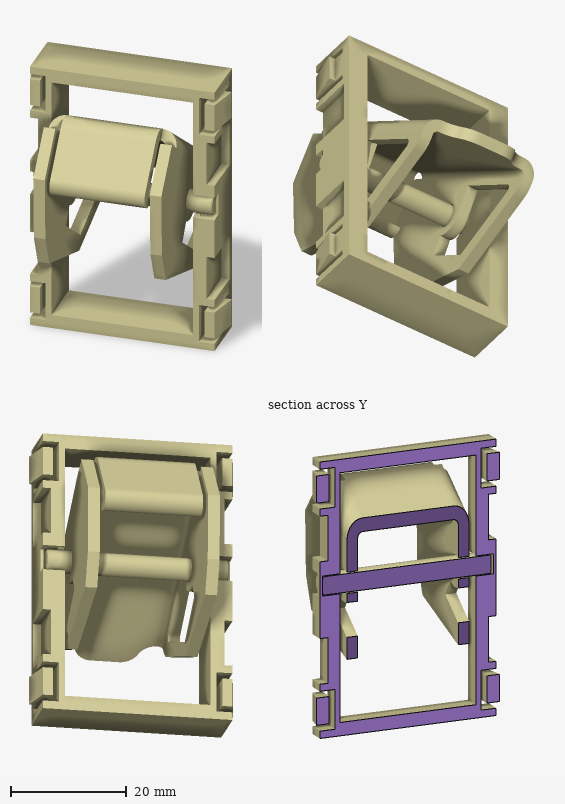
import cadquery as cq
import math


FRAME_WIDTH = 33.5
FRAME_DEPTH = 10.0
FRAME_HEIGHT = 50.0
END_WALL = 2.5
SIDE_WALL = 3.9
HALF_WIDTH = FRAME_WIDTH / 2

CLIP_CENTER_Z = 20.05
CLIP_HEIGHT = 5.0
CLIP_THICKNESS = 1.8
CLIP_GAP = 1.05
CLIP_SLOT_DEPTH = 8.0
HOOK_LENGTH = 5.85
HOOK_REACH = 1.25

POCKET_CENTER_Z = 11.05
POCKET_HEIGHT = 8.15
POCKET_LENGTH = 8.55
POCKET_DEPTH = 1.45

PIN_DIAMETER = 4.0
PIN_RADIUS = PIN_DIAMETER / 2
PIN_Y = PIN_RADIUS
PIN_Z = 2.5
PIN_CHAMFER = 0.25
PIN_END_PLAY = 0.35

SEAT_DIAMETER = 4.1
SEAT_MOUTH = 4.4
SEAT_END_WALL = 0.55
END_NOTCH_DEPTH = 2.15
LIP_LENGTH = 1.05
LIP_HALF_GAP = 1.85
LIP_Y = 0.95
LIP_THICKNESS = 1.0

LEVER_TILT = 34.4
LEVER_WIDTH = 23.25
SHEET = 2.1
BEND_RADIUS = 3.0
LEVER_TOP = 10.0
PIN_HOLE_DIAMETER = 4.3
INNER_BEND_RADIUS = BEND_RADIUS - SHEET
FLAT_HALF_WIDTH = LEVER_WIDTH / 2 - BEND_RADIUS
FOLD_Z = LEVER_TOP - BEND_RADIUS
SHEET_UNDERSIDE = LEVER_TOP - SHEET

TOP_FRONT = -14.15
TOP_BACK = 23.0
TONGUE_LENGTH = 3.95
TONGUE_HALF_WIDTH = 2.5

PLATE_TOP_FRONT = (-17.2, FOLD_Z)
PLATE_NOSE = (-18.2, -2.25)
PLATE_LOWER_NOSE = (-11.4, -11.6)
PLATE_TOE = (-6.3, -15.1)
PLATE_HEEL = (11.1, -10.15)
PLATE_BACK = (TOP_BACK, 5.0)
PLATE_BACK_RADIUS = 5.0

WINDOW_TOP_MARGIN = 1.5
WINDOW_LOWER_MARGIN = 2.5
WINDOW_FLOOR = -7.5
WINDOW_CORNER_RADIUS = 0.9
BOSS_RADIUS = 3.75

FLAP_LEAN = 5.6
FLAP_LENGTH = 9.35


def block(x0, x1, y0, y1, z0, z1):
    """Box between two opposite corners."""
    return cq.Workplane("XY").box(x1 - x0, y1 - y0, z1 - z0, centered=False).translate((x0, y0, z0))


def both_sides(right_half):
    """A +X feature together with its mirror image on -X."""
    return right_half.union(right_half.mirror("YZ"))


def clip_slot(z):
    half = CLIP_HEIGHT / 2 + CLIP_GAP
    inner_x = HALF_WIDTH - CLIP_THICKNESS - CLIP_GAP
    return block(inner_x, HALF_WIDTH, 0, CLIP_SLOT_DEPTH, z - half, z + half)


def clip(z):
    inner_x = HALF_WIDTH - CLIP_THICKNESS
    outline = [
        (inner_x, 0),
        (HALF_WIDTH, 0),
        (HALF_WIDTH + HOOK_REACH, HOOK_LENGTH),
        (HALF_WIDTH, HOOK_LENGTH),
        (HALF_WIDTH, CLIP_SLOT_DEPTH),
        (inner_x, CLIP_SLOT_DEPTH),
    ]
    tongue = cq.Workplane("XY").polyline(outline).close().extrude(CLIP_HEIGHT)
    return tongue.translate((0, 0, z - CLIP_HEIGHT / 2))


def side_pocket(z):
    half = POCKET_HEIGHT / 2
    return block(HALF_WIDTH - POCKET_DEPTH, HALF_WIDTH, 0, POCKET_LENGTH, z - half, z + half)


def pin_seat():
    """U-shaped seat with a flared mouth, closed by an end wall that is notched to half depth."""
    inner_x = HALF_WIDTH - SIDE_WALL
    radius = SEAT_DIAMETER / 2
    mouth = SEAT_MOUTH / 2
    seat = (
        cq.Workplane("YZ", origin=(inner_x, 0, PIN_Z))
        .moveTo(0, -mouth)
        .lineTo(PIN_Y, -radius)
        .threePointArc((PIN_Y + radius, 0), (PIN_Y, radius))
        .lineTo(0, mouth)
        .close()
        .extrude(SIDE_WALL - SEAT_END_WALL)
    )
    notch = (
        cq.Workplane("YZ", origin=(HALF_WIDTH - SEAT_END_WALL, 0, PIN_Z))
        .polyline([
            (0, -mouth), (PIN_Y, -radius), (END_NOTCH_DEPTH, -radius),
            (END_NOTCH_DEPTH, radius), (PIN_Y, radius), (0, mouth),
        ])
        .close()
        .extrude(SEAT_END_WALL)
    )
    return seat.union(notch)


def snap_lips():
    """Two small ridges in the seat mouth that hold the pin in."""
    lips = cq.Workplane("YZ", origin=(HALF_WIDTH - SIDE_WALL, 0, PIN_Z))
    front = LIP_Y - LIP_THICKNESS / 2
    back = LIP_Y + LIP_THICKNESS / 2
    for side in (-1, 1):
        root = side * SEAT_MOUTH / 2
        tip = side * LIP_HALF_GAP
        lips = lips.moveTo(front, root).lineTo(LIP_Y, tip).lineTo(back, root).close()
    return lips.extrude(LIP_LENGTH)


def make_frame():
    frame = block(-HALF_WIDTH, HALF_WIDTH, 0, FRAME_DEPTH, -FRAME_HEIGHT / 2, FRAME_HEIGHT / 2)
    opening_half_width = HALF_WIDTH - SIDE_WALL
    opening_half_height = FRAME_HEIGHT / 2 - END_WALL
    frame = frame.cut(
        block(
            -opening_half_width, opening_half_width,
            0, FRAME_DEPTH,
            -opening_half_height, opening_half_height,
        )
    )
    for end in (-1, 1):
        frame = frame.cut(both_sides(clip_slot(end * CLIP_CENTER_Z)))
        frame = frame.union(both_sides(clip(end * CLIP_CENTER_Z)))
        frame = frame.cut(both_sides(side_pocket(end * POCKET_CENTER_Z)))
    return frame.cut(both_sides(pin_seat())).union(both_sides(snap_lips()))


def make_pin():
    """Pin resting against the +X end wall, with a little play at the -X end."""
    right_end = HALF_WIDTH - SEAT_END_WALL
    length = 2 * right_end - PIN_END_PLAY
    pin = cq.Workplane("YZ", origin=(right_end - length, PIN_Y, PIN_Z)).circle(PIN_RADIUS).extrude(length)
    return pin.faces("<X or >X").chamfer(PIN_CHAMFER)


def lever_top():
    """Flat top with a quarter bend along each side."""
    outer = LEVER_WIDTH / 2
    inner = outer - SHEET
    flat = FLAT_HALF_WIDTH
    diagonal = math.sqrt(0.5)

    def bend_middle(side, radius):
        return (side * (flat + radius * diagonal), FOLD_Z + radius * diagonal)

    return (
        cq.Workplane("XZ", origin=(0, TOP_BACK, 0))
        .moveTo(-outer, FOLD_Z)
        .threePointArc(bend_middle(-1, BEND_RADIUS), (-flat, LEVER_TOP))
        .lineTo(flat, LEVER_TOP)
        .threePointArc(bend_middle(1, BEND_RADIUS), (outer, FOLD_Z))
        .lineTo(inner, FOLD_Z)
        .threePointArc(bend_middle(1, INNER_BEND_RADIUS), (flat, SHEET_UNDERSIDE))
        .lineTo(-flat, SHEET_UNDERSIDE)
        .threePointArc(bend_middle(-1, INNER_BEND_RADIUS), (-inner, FOLD_Z))
        .close()
        .extrude(TOP_BACK - TOP_FRONT)
    )


def thumb_tongue():
    """Tongue at the back of the top, blended into it by an S-curve on each side."""
    tip_y = TOP_BACK + TONGUE_LENGTH
    run = FLAT_HALF_WIDTH - TONGUE_HALF_WIDTH
    middle = (TONGUE_HALF_WIDTH + run / 2, TOP_BACK + TONGUE_LENGTH / 2)
    right_half = (
        cq.Workplane("XY", origin=(0, 0, SHEET_UNDERSIDE))
        .moveTo(0, tip_y)
        .lineTo(TONGUE_HALF_WIDTH, tip_y)
        .tangentArcPoint(middle, relative=False)
        .tangentArcPoint((FLAT_HALF_WIDTH, TOP_BACK), relative=False)
        .lineTo(0, TOP_BACK)
        .close()
        .extrude(SHEET)
    )
    return both_sides(right_half)


def side_plate():
    """Plate on the +X side with its triangular window."""
    plate = (
        cq.Workplane("YZ", origin=(LEVER_WIDTH / 2 - SHEET, 0, 0))
        .polyline([
            PLATE_TOP_FRONT, PLATE_NOSE, PLATE_LOWER_NOSE, PLATE_TOE, PLATE_HEEL, PLATE_BACK,
            (TOP_BACK, FOLD_Z),
        ])
        .close()
        .extrude(SHEET)
    )
    back_corner = cq.selectors.NearestToPointSelector((LEVER_WIDTH / 2 - SHEET / 2, *PLATE_BACK))
    return plate.edges(back_corner).fillet(PLATE_BACK_RADIUS).cut(plate_window())


def plate_window():
    """Window under the top, running beside the pin boss and parallel to the plate's lower back edge."""
    rise = PLATE_BACK[1] - PLATE_HEEL[1]
    run = PLATE_BACK[0] - PLATE_HEEL[0]
    edge_length = math.hypot(run, rise)
    roof = FOLD_Z - WINDOW_TOP_MARGIN
    diagonal = BOSS_RADIUS * math.sqrt(0.5)

    def lower_edge_y(z):
        return PLATE_HEEL[0] + (z - PLATE_HEEL[1]) * run / rise - WINDOW_LOWER_MARGIN * edge_length / rise

    back_corner = (lower_edge_y(roof), roof)
    window = (
        cq.Workplane("YZ", origin=(LEVER_WIDTH / 2 - SHEET, 0, 0))
        .moveTo(0, WINDOW_FLOOR)
        .lineTo(lower_edge_y(WINDOW_FLOOR), WINDOW_FLOOR)
        .lineTo(*back_corner)
        .lineTo(BOSS_RADIUS, roof)
        .lineTo(BOSS_RADIUS, 0)
        .threePointArc((diagonal, -diagonal), (0, -BOSS_RADIUS))
        .close()
        .extrude(SHEET)
    )
    corner_edge = cq.selectors.NearestToPointSelector((LEVER_WIDTH / 2 - SHEET / 2, *back_corner))
    return window.edges(corner_edge).fillet(WINDOW_CORNER_RADIUS)


def front_flap():
    """Flap bent down from the front of the top, with a tight hem along its lower edge."""
    lean = math.radians(FLAP_LEAN)
    down = (-math.sin(lean), -math.cos(lean))
    outward = (-math.cos(lean), math.sin(lean))
    half_turn = (math.pi / 2 - lean) / 2

    def flap_point(along, offset):
        """Point a distance down the flap and a distance outward of the bend centre line."""
        return (
            TOP_FRONT + along * down[0] + offset * outward[0],
            FOLD_Z + along * down[1] + offset * outward[1],
        )

    def bend_middle(radius):
        return (TOP_FRONT - radius * math.sin(half_turn), FOLD_Z + radius * math.cos(half_turn))

    return (
        cq.Workplane("YZ", origin=(-FLAT_HALF_WIDTH, 0, 0))
        .moveTo(TOP_FRONT, LEVER_TOP)
        .threePointArc(bend_middle(BEND_RADIUS), flap_point(0, BEND_RADIUS))
        .lineTo(*flap_point(FLAP_LENGTH, BEND_RADIUS))
        .threePointArc(
            flap_point(FLAP_LENGTH + SHEET, INNER_BEND_RADIUS),
            flap_point(FLAP_LENGTH, INNER_BEND_RADIUS - SHEET),
        )
        .lineTo(*flap_point(FLAP_LENGTH, INNER_BEND_RADIUS))
        .lineTo(*flap_point(0, INNER_BEND_RADIUS))
        .threePointArc(bend_middle(INNER_BEND_RADIUS), (TOP_FRONT, SHEET_UNDERSIDE))
        .close()
        .extrude(2 * FLAT_HALF_WIDTH)
    )


def make_lever():
    lever = lever_top().union(thumb_tongue()).union(both_sides(side_plate())).union(front_flap())
    pin_hole = cq.Workplane("YZ").circle(PIN_HOLE_DIAMETER / 2).extrude(LEVER_WIDTH / 2, both=True)
    lever = lever.cut(pin_hole)
    return lever.rotate((0, 0, 0), (1, 0, 0), -LEVER_TILT).translate((0, PIN_Y, PIN_Z))


frame = make_frame()
pin = make_pin()
lever = make_lever()

result = cq.Compound.makeCompound([frame.val(), pin.val(), lever.val()])